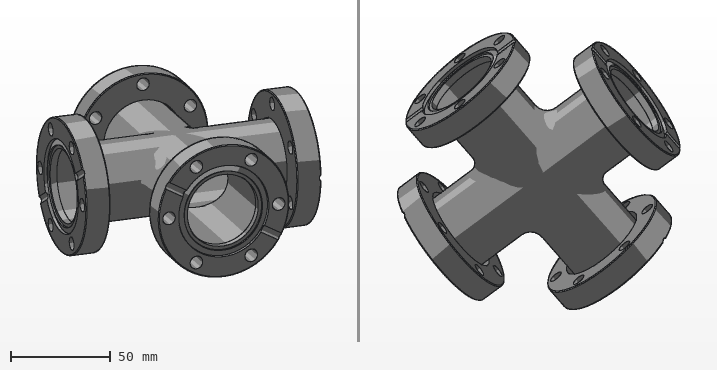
import cadquery as cq
import math

FACE_DISTANCE = 63.0
FLANGE_DIAMETER = 70.0
FLANGE_THICKNESS = 13.0
EDGE_CHAMFER = 0.5

TUBE_DIAMETER = 41.0
BORE_DIAMETER = 38.0
TUBE_END_DEPTH = 5.0
CROTCH_RADIUS = 8.0

BOLT_COUNT = 6
BOLT_HOLE_DIAMETER = 6.7
BOLT_CIRCLE_DIAMETER = 58.7

GROOVE_WIDTH = 3.8
GROOVE_DEPTH = 1.0

RECESS_DIAMETER = 48.3
INSERT_DIAMETER = 48.1
KNIFE_DIAMETER = 41.9
KNIFE_DEPTH = 0.6
KNIFE_ANGLE = 20.0
KNIFE_FOOT_DIAMETER = 41.5
KNIFE_FLOOR_DEPTH = 1.4

WELD_RELIEF_DIAMETER = 42.0
WELD_RELIEF_DEPTH = 4.0
INSERT_THICKNESS = 7.0
RING_BACK_DIAMETER = 45.0

tube_radius = TUBE_DIAMETER / 2
bore_radius = BORE_DIAMETER / 2
tube_end = FACE_DISTANCE - TUBE_END_DEPTH
knife_slope = math.tan(math.radians(KNIFE_ANGLE))
groove_radius = ((GROOVE_WIDTH / 2) ** 2 + GROOVE_DEPTH ** 2) / (2 * GROOVE_DEPTH)


def crossed_cylinders(radius, end):
    """Two equal cylinders on the X and Y axes, each running from -end to +end."""
    along_x = cq.Workplane("YZ").circle(radius).extrude(end, both=True)
    along_y = cq.Workplane("XZ").circle(radius).extrude(end, both=True)
    return along_x.union(along_y)


def crotch_fill():
    """Material under a ball that rolls along the crotch between the +X and +Y tubes."""
    reach = tube_radius + CROTCH_RADIUS
    diagonal = reach * math.sqrt(2)
    contact_ratio = tube_radius / reach
    wedge_end = 2 * reach / (1 + contact_ratio)
    wedge = (
        cq.Workplane("XY")
        .polyline([(0, 0), (wedge_end, contact_ratio * wedge_end), (contact_ratio * wedge_end, wedge_end)])
        .close()
        .extrude(reach, both=True)
    )
    diagonal_plane = cq.Plane(origin=(0, 0, 0), xDir=(1, 1, 0), normal=(1, -1, 0))
    centre_dome = cq.Workplane(diagonal_plane).ellipse(diagonal, reach).extrude(reach, both=True)
    centre_path = cq.Workplane(diagonal_plane).ellipseArc(diagonal, reach, -90, 90, startAtCurrent=False)
    path_start = cq.Plane(origin=(0, 0, -reach), xDir=(1, -1, 0), normal=(1, 1, 0))
    ball_track = cq.Workplane(path_start).circle(CROTCH_RADIUS).sweep(centre_path)
    return wedge.intersect(centre_dome).cut(ball_track)


def make_cross_tube():
    body = crossed_cylinders(tube_radius, tube_end)
    fill = crotch_fill()
    for quarter in range(4):
        body = body.union(fill.rotate((0, 0, 0), (0, 0, 1), 90 * quarter))
    return body.cut(crossed_cylinders(bore_radius, tube_end))


def disc(diameter, top, bottom):
    return cq.Workplane("XY").workplane(offset=bottom).circle(diameter / 2).extrude(top - bottom)


def bolted_blank():
    blank = disc(FLANGE_DIAMETER, 0, -FLANGE_THICKNESS).edges().chamfer(EDGE_CHAMFER)
    holes = (
        cq.Workplane("XY")
        .polarArray(BOLT_CIRCLE_DIAMETER / 2, 180 / BOLT_COUNT, 360, BOLT_COUNT)
        .circle(BOLT_HOLE_DIAMETER / 2)
        .extrude(-FLANGE_THICKNESS)
    )
    groove = (
        cq.Workplane("YZ")
        .center(0, groove_radius - GROOVE_DEPTH)
        .circle(groove_radius)
        .extrude(FLANGE_DIAMETER / 2, both=True)
    )
    return blank.cut(holes).cut(groove)


def sealing_core(diameter, back_depth):
    """Knife edge and bore, pierced by the socket for the tube end."""
    rim_radius = diameter / 2
    tip_radius = KNIFE_DIAMETER / 2
    rim_depth = KNIFE_DEPTH + (rim_radius - tip_radius) * knife_slope
    core = (
        cq.Workplane("XZ")
        .moveTo(bore_radius, -back_depth)
        .lineTo(bore_radius, -KNIFE_FLOOR_DEPTH)
        .lineTo(KNIFE_FOOT_DIAMETER / 2, -KNIFE_FLOOR_DEPTH)
        .lineTo(tip_radius, -KNIFE_DEPTH)
        .lineTo(rim_radius, -rim_depth)
        .lineTo(rim_radius, -back_depth)
        .close()
        .revolve(360, (0, 0), (0, 1))
    )
    return core.cut(disc(TUBE_DIAMETER, -TUBE_END_DEPTH, -back_depth))


def make_fixed_flange():
    outer = bolted_blank().cut(disc(RECESS_DIAMETER, 0, -FLANGE_THICKNESS))
    flange = outer.union(sealing_core(RECESS_DIAMETER, FLANGE_THICKNESS))
    relief_top = WELD_RELIEF_DEPTH - FLANGE_THICKNESS
    return flange.cut(disc(WELD_RELIEF_DIAMETER, relief_top, -FLANGE_THICKNESS))


def make_rotatable_ring():
    ring = bolted_blank().cut(disc(RING_BACK_DIAMETER, 0, -FLANGE_THICKNESS))
    return ring.cut(disc(RECESS_DIAMETER, 0, -INSERT_THICKNESS))


def make_insert():
    return sealing_core(INSERT_DIAMETER, INSERT_THICKNESS)


def place(part, outward, level, twist):
    """Move a flange part to its port: local X lies along `level`, turned by `twist` degrees."""
    origin = cq.Vector(*outward) * FACE_DISTANCE
    port = cq.Plane(origin=origin, xDir=level, normal=outward)
    turned = part.rotate((0, 0, 0), (0, 0, 1), twist)
    return turned.solids().val().moved(port.location)


cross_tube = make_cross_tube()
fixed_flange = make_fixed_flange()
rotatable_ring = make_rotatable_ring()
insert = make_insert()

ROTATABLE_TWIST = 180 / BOLT_COUNT
fixed_ports = [((-1, 0, 0), (0, -1, 0)), ((0, 1, 0), (1, 0, 0))]
rotatable_ports = [
    ((1, 0, 0), (0, -1, 0), -ROTATABLE_TWIST),
    ((0, -1, 0), (1, 0, 0), ROTATABLE_TWIST),
]

bodies = [cross_tube.solids().val()]
for outward, level in fixed_ports:
    bodies.append(place(fixed_flange, outward, level, 0))
for outward, level, twist in rotatable_ports:
    bodies.append(place(rotatable_ring, outward, level, twist))
    bodies.append(place(insert, outward, level, 0))

result = cq.Compound.makeCompound(bodies)